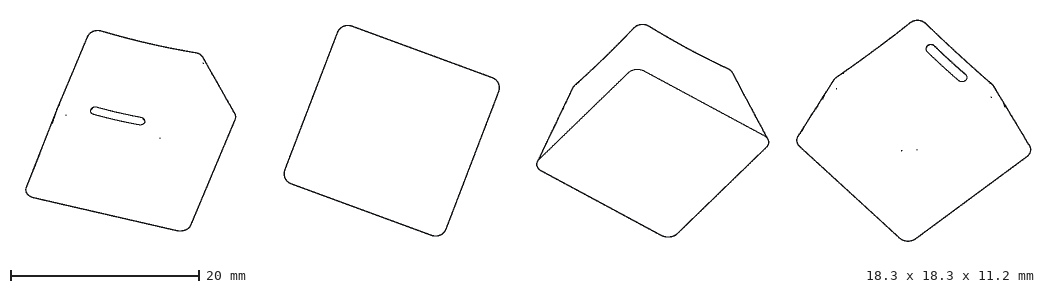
import cadquery as cq
import math

base_width = 18.3
wall_angle = 14.0
corner_radius = 1.25
blank_height = 13.0

dish_radius = 39.0
dish_floor_height = 10.36
rim_radius = 0.6

bar_length = 6.0
bar_width = 1.0
bar_center_y = -4.68
bar_height = 0.42
bar_edge_radius = 0.4

dish_center_height = dish_floor_height + dish_radius


def dish_ball(radius):
    """Ball concentric with the dish."""
    return cq.Workplane("XY").sphere(radius).translate((0, 0, dish_center_height))


def make_body():
    """Tapered body with rounded corners, dished top and rounded rim."""
    top_width = base_width - 2 * blank_height * math.tan(math.radians(wall_angle))
    blank = (
        cq.Workplane("XY")
        .rect(base_width, base_width)
        .workplane(offset=blank_height)
        .rect(top_width, top_width)
        .loft(ruled=True)
    )
    rounded = blank.edges("not(#Z)").fillet(corner_radius)
    dished = rounded.cut(dish_ball(dish_radius))
    return dished.faces(">Z").edges().fillet(rim_radius)


def make_homing_bar():
    """Round-ended bar whose top follows the dish at a constant height."""
    bar = (
        cq.Workplane("XY")
        .center(0, bar_center_y)
        .slot2D(bar_length, bar_width)
        .extrude(blank_height)
        .cut(dish_ball(dish_radius - bar_height))
    )
    return bar.faces(">Z").edges().fillet(bar_edge_radius)


result = make_body().union(make_homing_bar())